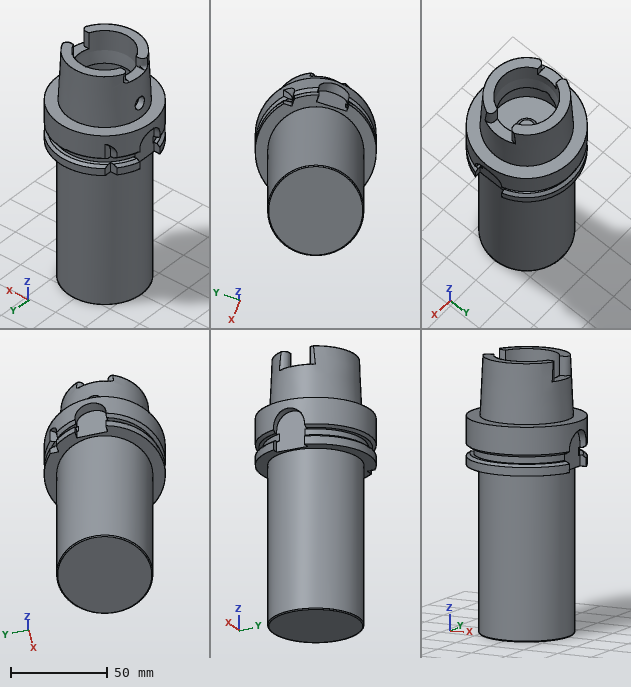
import cadquery as cq
import math

total_height = 146.9
flange_top = 115.0
flange_bottom = 89.2

shank_radius = 50.0 / 2
shank_chamfer = 0.6
flange_radius = 62.9 / 2
groove_radius = 55.0 / 2
groove_mouth_radius = 59.0 / 2
groove_top = 99.0
groove_bottom = 95.0
groove_bevel_height = 1.3

taper_base_radius = 48.5 / 2
taper_tip_radius = 45.5 / 2
bore_radius = 34.1 / 2
undercut_radius = 40.1 / 2
throat_radius = 31.9 / 2
bore_end = 134.0
undercut_top = 126.5
floor_height = 108.7
stub_radius = 12.0 / 2
stub_chamfer = 1.9
stub_height = 4.4

drive_slot_width = 12.6
drive_slot_flare = 3.0
drive_slot_flat = 20.7
shallow_slot_depth = 6.2
deep_slot_depth = 10.3
shallow_slot_floor_fillet = 1.6

side_hole_radius = 7.5 / 2
side_hole_height = 124.0

keyway_floor = 26.5
left_keyway_width = 16.5
right_keyway_width = 18.0
keyway_top = 110.3
notch_floor = 20.1
notch_wall = 19.7
notch_width = 16.0

clearance = 14.7


def revolved_body():
    """Shank, grooved flange and solid taper as one turned profile."""
    return (
        cq.Workplane("XZ")
        .moveTo(0, 0)
        .lineTo(shank_radius - shank_chamfer, 0)
        .lineTo(shank_radius, shank_chamfer)
        .lineTo(shank_radius, flange_bottom)
        .lineTo(flange_radius, flange_bottom)
        .lineTo(flange_radius, groove_bottom - groove_bevel_height)
        .lineTo(groove_mouth_radius, groove_bottom)
        .lineTo(groove_radius, groove_bottom)
        .lineTo(groove_radius, groove_top)
        .lineTo(groove_mouth_radius, groove_top)
        .lineTo(flange_radius, groove_top + groove_bevel_height)
        .lineTo(flange_radius, flange_top)
        .lineTo(taper_base_radius, flange_top)
        .lineTo(taper_tip_radius, total_height)
        .lineTo(0, total_height)
        .close()
        .revolve(360, (0, 0, 0), (0, 1, 0))
    )


def bore():
    """Bore narrowing to a throat above a wider undercut, leaving a chamfered stub on its floor."""
    stub_top = floor_height + stub_height
    return (
        cq.Workplane("XZ")
        .moveTo(0, total_height)
        .lineTo(bore_radius, total_height)
        .lineTo(bore_radius, bore_end)
        .lineTo(throat_radius, undercut_top)
        .lineTo(undercut_radius, undercut_top)
        .lineTo(undercut_radius, floor_height)
        .lineTo(stub_radius, floor_height)
        .lineTo(stub_radius, stub_top - stub_chamfer)
        .lineTo(stub_radius - stub_chamfer, stub_top)
        .lineTo(0, stub_top)
        .close()
        .revolve(360, (0, 0, 0), (0, 1, 0))
    )


def drive_slot(depth, floor_fillet=0):
    """Slot on the +X side of the rim whose walls flare open towards the outside."""
    half_width = drive_slot_width / 2
    flare_start = drive_slot_flat - drive_slot_flare
    flare_side = half_width + drive_slot_flare
    outer_end = taper_base_radius + clearance
    arc_inset = drive_slot_flare * math.sqrt(0.5)
    arc_mid_x = flare_start + arc_inset
    arc_mid_y = flare_side - arc_inset
    base = cq.Workplane("XY").workplane(offset=total_height - depth)
    channel = base.center(outer_end / 2, 0).rect(outer_end, drive_slot_width).extrude(depth)
    flare = (
        base.moveTo(flare_start, -half_width)
        .threePointArc((arc_mid_x, -arc_mid_y), (drive_slot_flat, -flare_side))
        .lineTo(drive_slot_flat, -flare_side - clearance)
        .lineTo(outer_end, -flare_side - clearance)
        .lineTo(outer_end, flare_side + clearance)
        .lineTo(drive_slot_flat, flare_side + clearance)
        .lineTo(drive_slot_flat, flare_side)
        .threePointArc((arc_mid_x, arc_mid_y), (flare_start, half_width))
        .close()
        .extrude(depth)
    )
    if floor_fillet:
        flare = flare.faces("<Z").edges().fillet(floor_fillet)
    return channel.union(flare)


def round_topped_slot(floor_x, center_y, width):
    """Slot cut inwards from +X to floor_x, open at the flange's lower face."""
    radius = width / 2
    arc_height = keyway_top - radius
    return (
        cq.Workplane("YZ")
        .workplane(offset=floor_x)
        .moveTo(center_y - radius, flange_bottom)
        .lineTo(center_y + radius, flange_bottom)
        .lineTo(center_y + radius, arc_height)
        .threePointArc((center_y, keyway_top), (center_y - radius, arc_height))
        .close()
        .extrude(flange_radius + clearance - floor_x)
    )


def side_hole():
    """Radial hole through the -X wall only."""
    return (
        cq.Workplane("YZ")
        .center(0, side_hole_height)
        .circle(side_hole_radius)
        .extrude(-taper_base_radius - clearance)
    )


result = revolved_body().cut(bore())

result = result.cut(drive_slot(shallow_slot_depth, shallow_slot_floor_fillet).mirror("YZ"))
result = result.cut(drive_slot(deep_slot_depth))
result = result.cut(side_hole())

result = result.cut(round_topped_slot(keyway_floor, 0, left_keyway_width).mirror("YZ"))
result = result.cut(round_topped_slot(keyway_floor, 0, right_keyway_width))
notch_center = notch_wall + notch_width / 2
result = result.cut(round_topped_slot(notch_floor, notch_center, notch_width).mirror("YZ"))